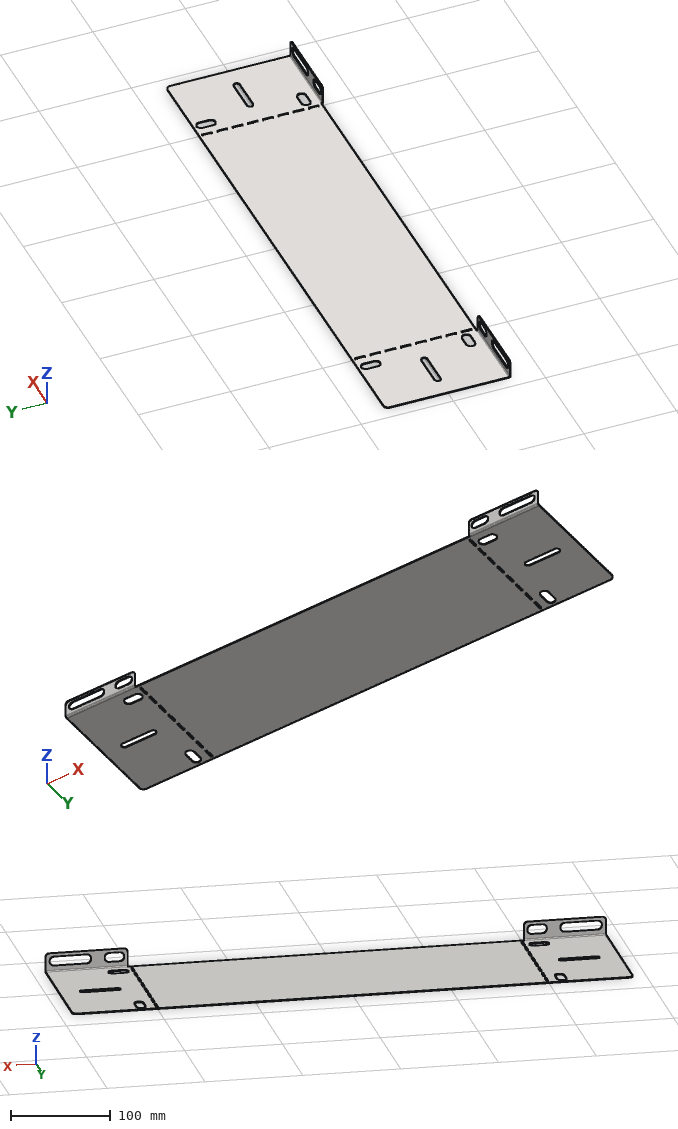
import cadquery as cq

length = 573.0
depth = 136.0
height = 20.0
sheet = 1.2
bend_radius = 1.0
bend_outer = bend_radius + sheet
plate_corner_radius = 5.0

flange_length = 84.0
flange_corner_radius = 4.0

inner_slot_inset = 71.5
mount_slot_length = 20.5
mount_slot_width = 9.5
rear_slot_setback = 14.0
front_slot_setback = 16.0
long_slot_inset = 41.75
long_slot_length = 41.5
long_slot_width = 6.5

flange_slot_height = 11.5
flange_slot_width = 9.5
flange_long_slot_inset = 25.5
flange_long_slot_length = 42.5
flange_short_slot_inset = 70.5
flange_short_slot_length = 20.0

perforation_offset = 199.5
perforation_count = 8
perforation_pitch = 16.5
perforation_length = 10.5
perforation_rear_margin = 3.5
perforation_width = 1.5

half_length = length / 2
rear_y = depth / 2
front_y = -depth / 2
plate_front_y = front_y + bend_outer
plate_middle_y = (rear_y + plate_front_y) / 2

perforation_span = (perforation_count - 1) * perforation_pitch + perforation_length
perforation_middle_y = rear_y - perforation_rear_margin - perforation_span / 2


def plate():
    """Flat sheet with rounded rear corners."""
    plate_depth = rear_y - plate_front_y
    return (
        cq.Workplane("XY")
        .box(length, plate_depth, sheet, centered=(True, False, False))
        .translate((0, plate_front_y, 0))
        .edges("|Z and >Y")
        .fillet(plate_corner_radius)
    )


def left_flange():
    """Bend and upright wall at the -X end, with rounded top corners."""
    profile = (
        cq.Workplane("YZ", origin=(-half_length, 0, 0))
        .moveTo(plate_front_y, 0)
        .radiusArc((front_y, bend_outer), bend_outer)
        .lineTo(front_y, height)
        .lineTo(front_y + sheet, height)
        .lineTo(front_y + sheet, bend_outer)
        .radiusArc((plate_front_y, sheet), -bend_radius)
        .close()
    )
    return profile.extrude(flange_length).edges("|Y and >Z").fillet(flange_corner_radius)


def plate_slot(inset, y, slot_length, slot_width, angle=0):
    """Cutter for a slot through the plate at the -X end."""
    return (
        cq.Workplane("XY")
        .center(inset - half_length, y)
        .slot2D(slot_length, slot_width, angle)
        .extrude(sheet)
    )


def flange_slot(inset, slot_length):
    """Cutter for a slot through the flange at the -X end."""
    return (
        cq.Workplane("XZ", origin=(inset - half_length, front_y, flange_slot_height))
        .slot2D(slot_length, flange_slot_width)
        .extrude(-sheet)
    )


def perforation():
    """Cutter for the row of slits at the -X end."""
    return (
        cq.Workplane("XY")
        .center(-perforation_offset, perforation_middle_y)
        .rarray(1, perforation_pitch, 1, perforation_count)
        .rect(perforation_width, perforation_length)
        .extrude(sheet)
    )


left_cutters = [
    plate_slot(inner_slot_inset, rear_y - rear_slot_setback, mount_slot_length, mount_slot_width, 90),
    plate_slot(inner_slot_inset, front_y + front_slot_setback, mount_slot_length, mount_slot_width),
    plate_slot(long_slot_inset, plate_middle_y, long_slot_length, long_slot_width),
    flange_slot(flange_long_slot_inset, flange_long_slot_length),
    flange_slot(flange_short_slot_inset, flange_short_slot_length),
    perforation(),
]

flange = left_flange()
result = plate().union(flange).union(flange.mirror("YZ"))
for cutter in left_cutters:
    result = result.cut(cutter).cut(cutter.mirror("YZ"))